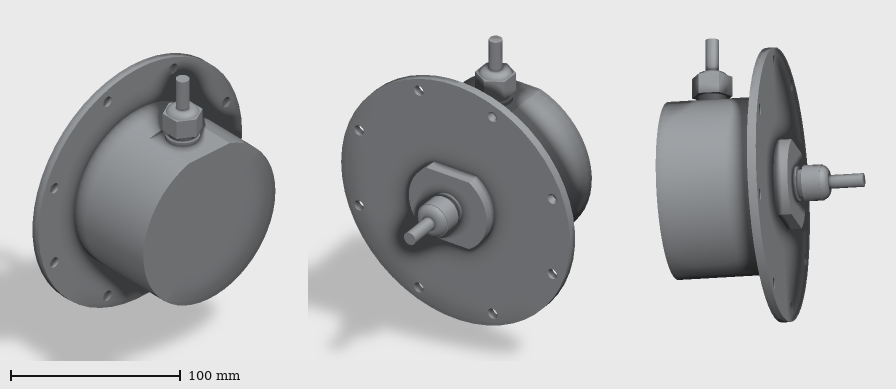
import cadquery as cq
import math

flange_diameter = 162.0
flange_thickness = 5.3
bolt_pair_count = 4
bolt_pair_half_angle = 20.9
bolt_circle_radius = 73.2
bolt_hole_diameter = 6.7

body_diameter = 105.0
body_length = 60.5
body_end = flange_thickness + body_length

boss_diameter = 55.1
boss_thickness = 8.3
boss_width_over_flats = 46.1

seat_height = 50.0
seat_start = 30.6

collar_radius = 10.3
neck_radius = 8.5
dome_radius = 10.3
dome_edge_radius = 5.0
cable_diameter = 8.1

front_collar_height = 1.5
front_neck_height = 3.3
front_nut_height = 11.0
front_nut_radius = 10.7
front_dome_height = 4.1
front_cable_end = 48.7

upper_gland_x = 42.4
upper_collar_height = 2.5
upper_neck_height = 3.6
upper_nut_height = 12.0
upper_nut_width_over_flats = 20.8
upper_dome_height = 3.0
upper_cable_end = 172.2 - flange_diameter / 2


def make_flange():
    """Disc with a pair of bolt holes straddling each end of the Y and Z axes."""
    flange = cq.Workplane("YZ").circle(flange_diameter / 2).extrude(flange_thickness)
    holes = cq.Workplane("YZ")
    for first_angle in (-bolt_pair_half_angle, bolt_pair_half_angle):
        holes = holes.polarArray(bolt_circle_radius, first_angle, 360, bolt_pair_count)
        holes = holes.circle(bolt_hole_diameter / 2)
    return flange.cut(holes.extrude(flange_thickness))


def make_body():
    """Cylindrical housing with a flat seat cut into its top."""
    body = cq.Workplane("YZ", origin=(flange_thickness, 0, 0)).circle(body_diameter / 2).extrude(body_length)
    seat_cut = cq.Workplane("XY").box(
        body_end - seat_start, body_diameter, body_diameter, centered=(False, True, False)
    )
    return body.cut(seat_cut.translate((seat_start, 0, seat_height)))


def make_boss():
    """Round boss with flats on its top and bottom."""
    disc = cq.Workplane("YZ").circle(boss_diameter / 2).extrude(-boss_thickness)
    flats = cq.Workplane("YZ").rect(boss_diameter, boss_width_over_flats).extrude(-boss_thickness)
    return disc.intersect(flats)


def make_gland(plane, collar_height, neck_height, nut_at_base, nut_height, dome_height, cable_length):
    """Stack collar, neck, nut, dome and cable outward from the given plane."""
    nut_start = collar_height + neck_height
    nut_end = nut_start + nut_height
    dome_top = nut_end + dome_height
    collar = cq.Workplane(plane).circle(collar_radius).extrude(collar_height)
    neck = cq.Workplane(plane).circle(neck_radius).extrude(nut_start)
    nut = nut_at_base.translate(plane.zDir * nut_start)
    dome = (
        cq.Workplane(plane)
        .workplane(offset=nut_start)
        .circle(dome_radius)
        .extrude(dome_top - nut_start)
        .faces(cq.selectors.DirectionMinMaxSelector(plane.zDir))
        .edges()
        .fillet(dome_edge_radius)
    )
    cable = cq.Workplane(plane).circle(cable_diameter / 2).extrude(cable_length)
    return collar.union(neck).union(nut).union(dome).union(cable)


def make_front_gland():
    plane = cq.Plane((-boss_thickness, 0, 0), xDir=(0, 1, 0), normal=(-1, 0, 0))
    nut = cq.Workplane(plane).circle(front_nut_radius).extrude(front_nut_height)
    return make_gland(
        plane,
        front_collar_height,
        front_neck_height,
        nut,
        front_nut_height,
        front_dome_height,
        front_cable_end - boss_thickness,
    )


def make_upper_gland():
    plane = cq.Plane((upper_gland_x, 0, seat_height))
    width_over_corners = upper_nut_width_over_flats / math.cos(math.pi / 6)
    nut = cq.Workplane(plane).polygon(6, width_over_corners).extrude(upper_nut_height)
    return make_gland(
        plane,
        upper_collar_height,
        upper_neck_height,
        nut,
        upper_nut_height,
        upper_dome_height,
        upper_cable_end - seat_height,
    )


result = (
    make_flange()
    .union(make_body())
    .union(make_boss())
    .union(make_front_gland())
    .union(make_upper_gland())
)